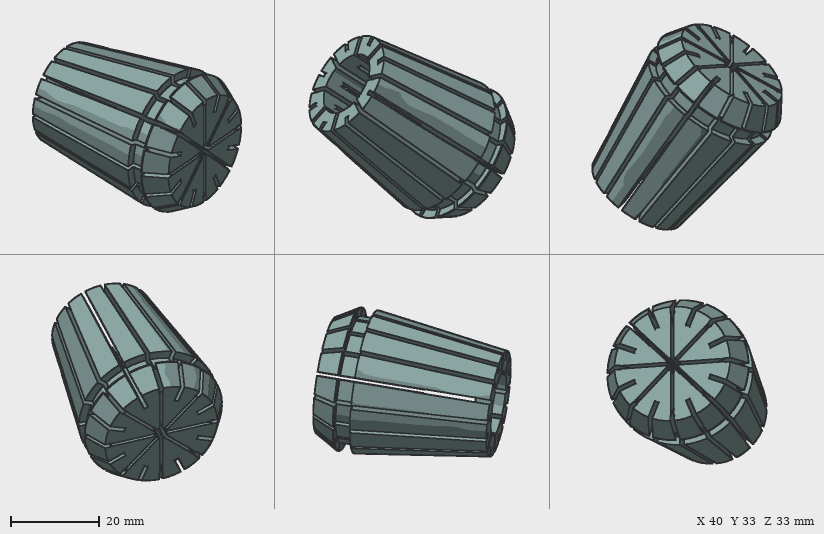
import cadquery as cq
import math

length = 40.0
max_diameter = 33.0
body_angle = 8.0
nose_angle = 30.0
groove_start = 30.8
groove_end = 34.5
groove_radius = 14.55
rim_width = 0.3

relief_diameter = 15.0
relief_depth = 18.0
bore_diameter = 3.0

slots_per_set = 8
slot_pitch = 360.0 / slots_per_set
slot_width = 1.0
core_slot_width = 0.75
nose_saw_radius = 31.0
nose_saw_depth = 3.9
nose_saw_x = 18.65
body_saw_radius = 40.0
body_saw_depth = 2.55
body_saw_x = 17.5

max_radius = max_diameter / 2
relief_radius = relief_diameter / 2
bore_radius = bore_diameter / 2
small_end_radius = max_radius - groove_start * math.tan(math.radians(body_angle))
nose_start = groove_end + rim_width
nose_radius = max_radius - (length - nose_start) * math.tan(math.radians(nose_angle))


def make_blank():
    """Tapered collet body with its groove and stepped bore."""
    return (
        cq.Workplane("XY")
        .moveTo(0, relief_radius)
        .lineTo(0, small_end_radius)
        .lineTo(groove_start, max_radius)
        .lineTo(groove_start, groove_radius)
        .lineTo(groove_end, groove_radius)
        .lineTo(groove_end, max_radius)
        .lineTo(nose_start, max_radius)
        .lineTo(length, nose_radius)
        .lineTo(length, bore_radius)
        .lineTo(relief_depth, bore_radius)
        .lineTo(relief_depth, relief_radius)
        .close()
        .revolve(360, (0, 0, 0), (1, 0, 0))
    )


def make_saw(radius, depth, x):
    """Saw disc in the XY plane whose lowest point is at the given X and depth."""
    return cq.Workplane("XY").center(x, depth + radius).circle(radius).extrude(slot_width / 2, both=True)


def make_nose_slot():
    """Saw arc leaving a bridge at the small end, opened to the axis by a narrow core slot."""
    core_slot = cq.Workplane("XY").box(
        length - relief_depth, max_radius, core_slot_width, centered=(False, False, True)
    ).translate((relief_depth, 0, 0))
    return make_saw(nose_saw_radius, nose_saw_depth, nose_saw_x).union(core_slot)


def make_body_slot():
    """Slot open at the small end, its floor curving outward to the nose face."""
    saw = make_saw(body_saw_radius, body_saw_depth, body_saw_x)
    lead_in = cq.Workplane("XY").box(
        body_saw_x, max_radius, slot_width, centered=(False, False, True)
    ).translate((0, body_saw_depth, 0))
    return saw.union(lead_in)


result = make_blank()
nose_slot = make_nose_slot()
body_slot = make_body_slot()
for index in range(slots_per_set):
    angle = index * slot_pitch
    result = result.cut(nose_slot.rotate((0, 0, 0), (1, 0, 0), angle))
    result = result.cut(body_slot.rotate((0, 0, 0), (1, 0, 0), angle + slot_pitch / 2))